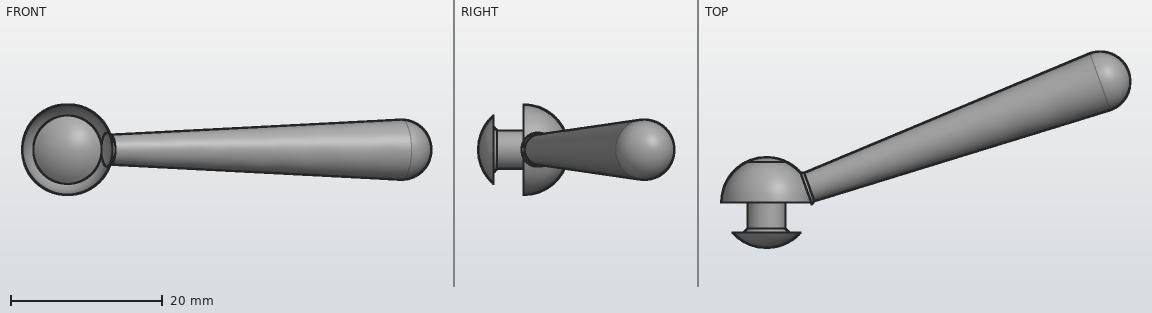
import cadquery as cq
import math

total_length = 54
ball_radius = 6.0
shell_thickness = 0.05
inner_radius = ball_radius - shell_thickness
joint_radius = ball_radius - shell_thickness / 2

stem_radius = 2.55
collar_radius = 3.0
collar_height = 0.5
button_face_y = -3.95
button_radius = math.sqrt(ball_radius**2 - button_face_y**2)

handle_tip_radius = 4.0
handle_tip_x = total_length - ball_radius - handle_tip_radius
handle_angle = 19.9
handle_length = handle_tip_x / math.cos(math.radians(handle_angle))
handle_neck_radius = 2.0
handle_root_radius = 2.25
handle_root_distance = math.sqrt(joint_radius**2 - handle_root_radius**2)
root_flare_length = 0.5


def make_cap():
    """Thin hemispherical shell, open towards -Y."""
    half_chord = math.sqrt(0.5)
    profile = (
        cq.Workplane("XY")
        .moveTo(inner_radius, 0)
        .lineTo(ball_radius, 0)
        .threePointArc((ball_radius * half_chord, ball_radius * half_chord), (0, ball_radius))
        .lineTo(0, inner_radius)
        .threePointArc((inner_radius * half_chord, inner_radius * half_chord), (inner_radius, 0))
        .close()
    )
    return profile.revolve(360, (0, 0), (0, 1))


def make_stem_and_button():
    """Round stem from the inside of the cap to a button shaped as a slice of the ball."""
    stem_top_y = math.sqrt(joint_radius**2 - stem_radius**2)
    stem_arc_angle = math.asin(stem_radius / joint_radius) / 2
    stem_arc_middle = (joint_radius * math.sin(stem_arc_angle), joint_radius * math.cos(stem_arc_angle))
    arc_angle = math.asin(button_radius / ball_radius) / 2
    arc_middle = (ball_radius * math.sin(arc_angle), -ball_radius * math.cos(arc_angle))
    profile = (
        cq.Workplane("XY")
        .moveTo(0, joint_radius)
        .threePointArc(stem_arc_middle, (stem_radius, stem_top_y))
        .lineTo(stem_radius, button_face_y + collar_height)
        .lineTo(collar_radius, button_face_y)
        .lineTo(button_radius, button_face_y)
        .threePointArc(arc_middle, (0, -ball_radius))
        .close()
    )
    return profile.revolve(360, (0, 0), (0, 1))


def make_handle():
    """Tapered handle with a flared root, hollowed to follow the shell, and a round tip."""
    root_arc_angle = math.asin(handle_root_radius / joint_radius) / 2
    tip_offset = handle_tip_radius * math.sqrt(0.5)
    profile = (
        cq.Workplane("XY")
        .moveTo(joint_radius, 0)
        .threePointArc(
            (joint_radius * math.cos(root_arc_angle), joint_radius * math.sin(root_arc_angle)),
            (handle_root_distance, handle_root_radius),
        )
        .lineTo(handle_root_distance + root_flare_length, handle_neck_radius)
        .lineTo(handle_length, handle_tip_radius)
        .threePointArc(
            (handle_length + tip_offset, tip_offset),
            (handle_length + handle_tip_radius, 0),
        )
        .close()
    )
    handle = profile.revolve(360, (0, 0), (1, 0))
    return handle.rotate((0, 0, 0), (0, 0, 1), handle_angle)


result = make_cap().union(make_stem_and_button()).union(make_handle())